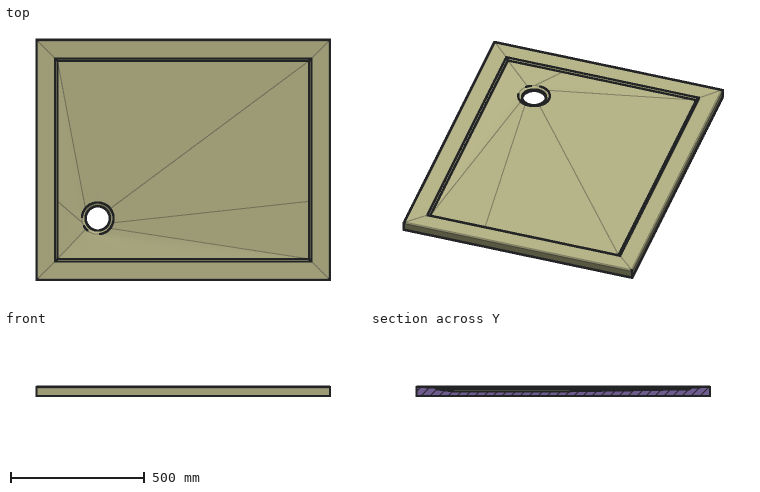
import cadquery as cq
import math

length = 1100.0
width = 900.0
height = 35.0
edge_radius = 4.0

rim_width = 70.0
rim_drop = 2.0
lip_width = 9.0
lip_drop = 7.0

drain_x = -320.0
drain_y = -219.0
drain_radius = 45.0
ring_radius = 59.0
floor_fall = 12.0
ring_drop = 7.0
side_break_y = -155.0

rim_inner_z = height - rim_drop
floor_edge_z = rim_inner_z - lip_drop
ring_z = floor_edge_z - floor_fall
floor_inset = rim_width + lip_width
floor_half_x = length / 2 - floor_inset
floor_half_y = width / 2 - floor_inset

floor_creases = [
    ((floor_half_x, floor_half_y), 38.0),
    ((-floor_half_x, floor_half_y), 141.0),
    ((-floor_half_x, side_break_y), 196.0),
    ((-floor_half_x, -floor_half_y), 222.0),
    ((floor_half_x, -floor_half_y), 321.0),
    ((floor_half_x, side_break_y), 344.0),
]


def tapered_recess(top_inset, bottom_inset, top_z, bottom_z):
    """Rectangular frustum concentric with the tray."""
    return (
        cq.Workplane("XY", origin=(0, 0, bottom_z))
        .rect(length - 2 * bottom_inset, width - 2 * bottom_inset)
        .workplane(offset=top_z - bottom_z)
        .rect(length - 2 * top_inset, width - 2 * top_inset)
        .loft(ruled=True)
    )


def ring_point(angle):
    """Point on the drain ring at an angle in degrees."""
    turn = math.radians(angle)
    x = drain_x + ring_radius * math.cos(turn)
    y = drain_y + ring_radius * math.sin(turn)
    return cq.Vector(x, y, ring_z)


def floor_recess():
    """Volume between the flat floor edge and the ruled faces falling to the drain."""
    faces = []
    outer_edges = []
    ring_edges = []
    following_creases = floor_creases[1:] + floor_creases[:1]
    for (start, start_angle), (end, end_angle) in zip(floor_creases, following_creases):
        sweep = (end_angle - start_angle) % 360
        outer = cq.Edge.makeLine(cq.Vector(*start, floor_edge_z), cq.Vector(*end, floor_edge_z))
        arc = cq.Edge.makeThreePointArc(
            ring_point(start_angle),
            ring_point(start_angle + sweep / 2),
            ring_point(end_angle),
        )
        faces.append(cq.Face.makeRuledSurface(outer, arc))
        outer_edges.append(outer)
        ring_edges.append(arc)
    faces.append(cq.Face.makeFromWires(cq.Wire.assembleEdges(outer_edges)))
    faces.append(cq.Face.makeFromWires(cq.Wire.assembleEdges(ring_edges)))
    return cq.Workplane(obj=cq.Solid.makeSolid(cq.Shell.makeShell(faces)).fix())


def drain_opening():
    """Conical seat narrowing to a through hole."""
    seat = cq.Solid.makeCone(
        drain_radius, ring_radius, ring_drop, pnt=cq.Vector(drain_x, drain_y, ring_z - ring_drop)
    )
    hole = cq.Workplane("XY").center(drain_x, drain_y).circle(drain_radius).extrude(height)
    return hole.union(cq.Workplane(obj=seat))


tray = cq.Workplane("XY").box(length, width, height, centered=(True, True, False))
tray = tray.faces(">Z").edges().fillet(edge_radius)
tray = tray.cut(tapered_recess(edge_radius, rim_width, height, rim_inner_z))
tray = tray.cut(tapered_recess(rim_width, floor_inset, rim_inner_z, floor_edge_z))
tray = tray.cut(floor_recess())
result = tray.cut(drain_opening())